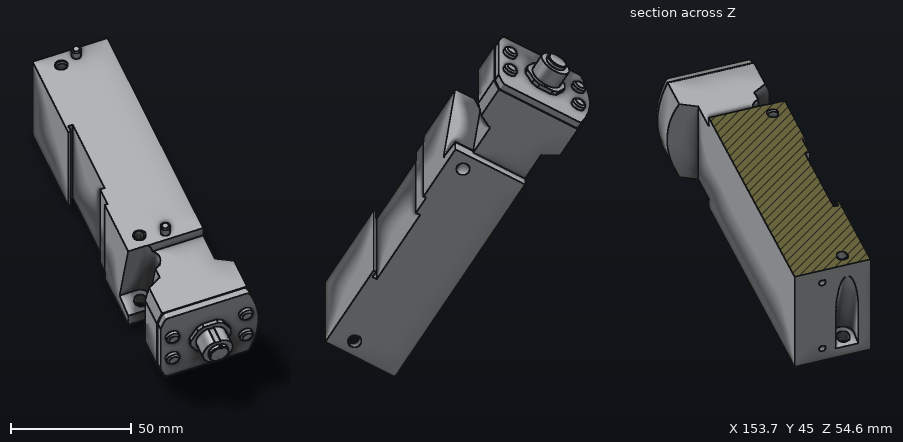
import cadquery as cq
import math

BODY_LENGTH = 107.6
BODY_DEPTH = 33.7
BODY_HEIGHT = 50.1

RAIL_START = 40.0
RAIL_END = 72.9
RAIL_DEPTH = 3.2
RAIL_LIP_DEPTH = 1.2
RAIL_UNDERCUT = 2.9
RAIL_STEP_END = 81.2

PIN_DIAMETER = 4.0
PIN_HEIGHT = 4.5
PIN_CHAMFER = 0.6
PIN_X_POSITIONS = (3.7, 103.7)
PIN_Y = 18.1

SLOT_WIDTH = 10.0
CLEARANCE_DIAMETER = 5.5
TAPPED_DIAMETER = 4.1
TAPPED_RIM_DIAMETER = 5.5
TAPPED_DEPTH = 13.8
LEFT_TILT = 15.0
LEFT_SCREW_X = 6.5
LEFT_SCREW_Y = 10.5
LEFT_FLOOR_Z = 6.3
RIGHT_TILT = 13.0
RIGHT_SCREW_X = 101.0
RIGHT_SCREW_Y = 7.5
RIGHT_FLOOR_Z = 7.2
TOOL_REACH = 76.8

END_HOLE_DIAMETER = 2.9
DRILL_POINT_ANGLE = 118.0
END_HOLE_DEPTH = 6.1
END_HOLE_Y = 21.4
END_HOLE_Z_POSITIONS = (6.8, 42.9)

HEAD_CENTRE_Z = 24.9
HEAD_HEIGHT = 40.3
HEAD_FRONT_Y = 0.2
HEAD_BACK_Y = 45.0
HEAD_ARC_RISE = 4.5
HEAD_FRONT_CORNER_Y = 2.5
HEAD_END_X = 139.3
NECK_FRONT_Y = 8.6
FLARE_FRONT_X = 121.3
FLARE_BACK_X = 120.7
FLARE_ANGLE = 60.0

COVER_THICKNESS = 3.0
COVER_INSET = 0.5
COVER_CORNER_RADIUS = 2.0
SCREW_DIAMETER = 5.8
SCREW_HEIGHT = 2.3
SCREW_CHAMFER = 0.8
SCREW_CENTRE_Y = 22.1
SCREW_SPACING_Y = 32.9
SCREW_SPACING_Z = 14.1

CONNECTOR_Y = 22.5
NUT_ACROSS_FLATS = 17.0
NUT_ACROSS_CORNERS = 18.0
NUT_THICKNESS = 1.8
BARREL_DIAMETER = 13.4
BARREL_END_X = 151.9
TIP_DIAMETER = 8.8
TIP_CHAMFER = 0.3
CONNECTOR_END_X = 153.7
BARREL_GROOVE_WIDTH = 2.5
BARREL_GROOVE_DEPTH = 0.6
TIP_NOTCH_WIDTH = 0.9
TIP_NOTCH_DEPTH = 0.8
TIP_NOTCH_OFFSET = 1.0

COVER_END_X = HEAD_END_X + COVER_THICKNESS


def rod_along_x(diameter, x_start, x_end, y, z):
    """Round bar parallel to X."""
    return (
        cq.Workplane("YZ", origin=(x_start, y, z))
        .circle(diameter / 2)
        .extrude(x_end - x_start)
    )


def countersunk_tool(diameter, rim_diameter, depth):
    """Hole cutter pointing down -Z from the origin, with a 45 degree rim."""
    radius = diameter / 2
    rim_radius = rim_diameter / 2
    outline = [
        (0, 0),
        (rim_radius, 0),
        (radius, radius - rim_radius),
        (radius, -depth),
        (0, -depth),
    ]
    return cq.Workplane("XZ").polyline(outline).close().revolve(360, (0, 0, 0), (0, 1, 0))


def body_block():
    outline = [
        (0, 0),
        (RAIL_START, 0),
        (RAIL_START, RAIL_LIP_DEPTH),
        (RAIL_START - RAIL_UNDERCUT, RAIL_LIP_DEPTH),
        (RAIL_START - RAIL_UNDERCUT, RAIL_DEPTH),
        (RAIL_END, RAIL_DEPTH),
        (RAIL_END, RAIL_LIP_DEPTH),
        (RAIL_STEP_END, RAIL_LIP_DEPTH),
        (RAIL_STEP_END, 0),
        (BODY_LENGTH, 0),
        (BODY_LENGTH, BODY_DEPTH),
        (0, BODY_DEPTH),
    ]
    return cq.Workplane("XY").polyline(outline).close().extrude(BODY_HEIGHT)


def locating_pins():
    return (
        cq.Workplane("XY", origin=(0, 0, BODY_HEIGHT))
        .pushPoints([(x, PIN_Y) for x in PIN_X_POSITIONS])
        .circle(PIN_DIAMETER / 2)
        .extrude(PIN_HEIGHT)
        .faces(">Z")
        .chamfer(PIN_CHAMFER)
    )


def arched_prism(x_start, x_end, inset):
    """Head cross-section run along X: arched front and back, the front arch cut off by a flat."""
    half_height = HEAD_HEIGHT / 2 - inset
    back_apex_y = HEAD_BACK_Y - inset
    back_corner_y = back_apex_y - HEAD_ARC_RISE
    front_corner_y = HEAD_FRONT_CORNER_Y + inset
    front_apex_y = front_corner_y - HEAD_ARC_RISE
    front_flat_y = HEAD_FRONT_Y + inset
    length = x_end - x_start
    arched = (
        cq.Workplane("YZ", origin=(x_start, 0, HEAD_CENTRE_Z))
        .moveTo(front_corner_y, half_height)
        .lineTo(back_corner_y, half_height)
        .threePointArc((back_apex_y, 0), (back_corner_y, -half_height))
        .lineTo(front_corner_y, -half_height)
        .threePointArc((front_apex_y, 0), (front_corner_y, half_height))
        .close()
        .extrude(length)
    )
    behind_flat = cq.Workplane("XY").box(length, HEAD_BACK_Y, HEAD_HEIGHT, centered=(False, False, True))
    return arched.intersect(behind_flat.translate((x_start, front_flat_y, HEAD_CENTRE_Z)))


def head():
    slope = math.tan(math.radians(FLARE_ANGLE))
    plan = [
        (BODY_LENGTH, NECK_FRONT_Y),
        (FLARE_FRONT_X, NECK_FRONT_Y),
        (FLARE_FRONT_X + (NECK_FRONT_Y - HEAD_FRONT_Y) / slope, HEAD_FRONT_Y),
        (HEAD_END_X, HEAD_FRONT_Y),
        (HEAD_END_X, HEAD_BACK_Y),
        (FLARE_BACK_X + (HEAD_BACK_Y - BODY_DEPTH) / slope, HEAD_BACK_Y),
        (FLARE_BACK_X, BODY_DEPTH),
        (BODY_LENGTH, BODY_DEPTH),
    ]
    flared = cq.Workplane("XY").polyline(plan).close().extrude(BODY_HEIGHT)
    return flared.intersect(arched_prism(BODY_LENGTH, HEAD_END_X, 0))


def cover():
    plate = arched_prism(HEAD_END_X, COVER_END_X, COVER_INSET)
    for side in (">Z", "<Z"):
        plate = plate.faces(side).edges("|X").fillet(COVER_CORNER_RADIUS)
    return plate


def cover_screws():
    return (
        cq.Workplane("YZ", origin=(COVER_END_X, SCREW_CENTRE_Y, HEAD_CENTRE_Z))
        .rarray(SCREW_SPACING_Y, SCREW_SPACING_Z, 2, 2)
        .circle(SCREW_DIAMETER / 2)
        .extrude(SCREW_HEIGHT)
        .faces(">X")
        .chamfer(SCREW_CHAMFER)
    )


def hexagon_along_x(across_flats, turn):
    """Hexagonal blank on the cover face, turned about X by the given angle."""
    blank = cq.Workplane("YZ").polygon(6, across_flats, circumscribed=True).extrude(NUT_THICKNESS)
    return blank.rotate((0, 0, 0), (1, 0, 0), turn).translate((COVER_END_X, CONNECTOR_Y, HEAD_CENTRE_Z))


def connector():
    half_flat_turn = 30
    nut = hexagon_along_x(NUT_ACROSS_FLATS, half_flat_turn)
    nut = nut.intersect(hexagon_along_x(NUT_ACROSS_CORNERS, 0))

    barrel = rod_along_x(BARREL_DIAMETER, COVER_END_X, BARREL_END_X, CONNECTOR_Y, HEAD_CENTRE_Z)
    groove_start = COVER_END_X + NUT_THICKNESS
    groove = cq.Workplane("XY").box(
        BARREL_END_X - groove_start, BARREL_GROOVE_WIDTH, BARREL_DIAMETER, centered=(False, True, False)
    )
    groove_floor_z = HEAD_CENTRE_Z + BARREL_DIAMETER / 2 - BARREL_GROOVE_DEPTH
    barrel = barrel.cut(groove.translate((groove_start, CONNECTOR_Y, groove_floor_z)))

    tip = rod_along_x(TIP_DIAMETER, BARREL_END_X, CONNECTOR_END_X, CONNECTOR_Y, HEAD_CENTRE_Z)
    tip = tip.faces(">X").chamfer(TIP_CHAMFER)
    notch = cq.Workplane("XY").box(
        CONNECTOR_END_X - BARREL_END_X, TIP_NOTCH_WIDTH, TIP_DIAMETER, centered=(False, True, False)
    )
    notch = notch.translate((0, TIP_NOTCH_OFFSET, TIP_DIAMETER / 2 - TIP_NOTCH_DEPTH))
    side_notch = notch.rotate((0, 0, 0), (1, 0, 0), 90)
    for cutter in (notch, side_notch):
        tip = tip.cut(cutter.translate((BARREL_END_X, CONNECTOR_Y, HEAD_CENTRE_Z)))
    return nut.union(barrel).union(tip)


def inclined_slot_tool(tilt, x_at_base, y, floor_z, opening_angle):
    """U-shaped slot rising from its floor, with a clearance hole below.

    The tilt is about Y, positive leaning to +X going up; the slot opens
    sideways in the direction of the opening angle, measured from +X.
    """
    slot = cq.Workplane("XY").circle(SLOT_WIDTH / 2).extrude(TOOL_REACH)
    opening = cq.Workplane("XY").box(TOOL_REACH, SLOT_WIDTH, TOOL_REACH, centered=(False, True, False))
    hole = cq.Workplane("XY").circle(CLEARANCE_DIAMETER / 2).extrude(-TOOL_REACH)
    tool = slot.union(opening.rotate((0, 0, 0), (0, 0, 1), opening_angle)).union(hole)
    x_at_floor = x_at_base + floor_z * math.tan(math.radians(tilt))
    return tool.rotate((0, 0, 0), (0, 1, 0), tilt).translate((x_at_floor, y, floor_z))


def tapped_hole_tool(tilt, x, y):
    """Blind hole in the top face, in line with the matching screw of a module stacked above."""
    tool = countersunk_tool(TAPPED_DIAMETER, TAPPED_RIM_DIAMETER, TAPPED_DEPTH)
    entry = cq.Workplane("XY").circle(TAPPED_RIM_DIAMETER / 2).extrude(TOOL_REACH)
    return tool.union(entry).rotate((0, 0, 0), (0, 1, 0), tilt).translate((x, y, BODY_HEIGHT))


def end_hole_tool(z):
    """Blind drilled hole along X with a conical bottom."""
    radius = END_HOLE_DIAMETER / 2
    point_length = radius / math.tan(math.radians(DRILL_POINT_ANGLE / 2))
    outline = [
        (0, 0),
        (0, radius),
        (END_HOLE_DEPTH, radius),
        (END_HOLE_DEPTH + point_length, 0),
    ]
    tool = cq.Workplane("XY").polyline(outline).close().revolve(360, (0, 0, 0), (1, 0, 0))
    return tool.translate((0, END_HOLE_Y, z))


TOWARDS_END = 180
TOWARDS_RAIL = -90

result = body_block().union(head())
result = result.cut(inclined_slot_tool(-LEFT_TILT, LEFT_SCREW_X, LEFT_SCREW_Y, LEFT_FLOOR_Z, TOWARDS_END))
result = result.cut(inclined_slot_tool(RIGHT_TILT, RIGHT_SCREW_X, RIGHT_SCREW_Y, RIGHT_FLOOR_Z, TOWARDS_RAIL))
result = result.cut(tapped_hole_tool(-LEFT_TILT, LEFT_SCREW_X, LEFT_SCREW_Y))
result = result.cut(tapped_hole_tool(RIGHT_TILT, RIGHT_SCREW_X, RIGHT_SCREW_Y))
for hole_z in END_HOLE_Z_POSITIONS:
    result = result.cut(end_hole_tool(hole_z))
result = result.union(locating_pins())
result = result.union(cover()).union(cover_screws()).union(connector())